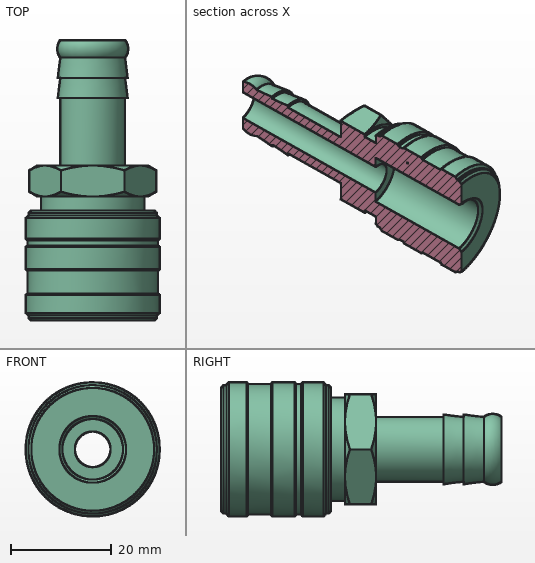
import cadquery as cq
import math


total_length = 56.0
sleeve_end = 22.0
hex_start = 24.75
hex_end = 30.95
bead_length = 3.5
barb_length = 4.05
barb_count = 2

ring_radius = 26.8 / 2
groove_radius = 13.05
lip_radius = 12.8
lip_face_radius = 12.25
lip_bevel = 0.53
lip_length = 1.05
ring_end_bevel = 0.5
ring_bevel = 0.35
front_ring_end = 5.45
middle_ring_start = 9.95
middle_ring_end = 15.0
rear_ring_start = 16.0

neck_radius = 10.35
hex_across_flats = 22.0
hex_chamfer_angle = 30.0
tube_radius = 6.5
barb_radius = 7.0
bead_radius = 7.1

through_radius = 3.5
socket_radius = 6.05
socket_chamfer = 0.6
socket_depth = sleeve_end


def turned(profile):
    """Revolve a (radius, Y) profile around the Y axis."""
    return profile.close().revolve(360, (0, 0, 0), (0, 1, 0))


def ring_outline(start, end, start_bevel, end_bevel):
    """Outer points of one raised, bevelled ring."""
    return [(ring_radius, start + start_bevel), (ring_radius, end - end_bevel)]


def make_sleeve():
    front_ring_start = lip_length
    rear_ring_end = sleeve_end - lip_length
    outline = [
        (0, 0),
        (lip_face_radius, 0),
        (lip_radius, lip_bevel),
        (lip_radius, front_ring_start),
        *ring_outline(front_ring_start, front_ring_end, ring_end_bevel, ring_bevel),
        (groove_radius, front_ring_end),
        (groove_radius, middle_ring_start),
        *ring_outline(middle_ring_start, middle_ring_end, ring_bevel, ring_bevel),
        (groove_radius, middle_ring_end),
        (groove_radius, rear_ring_start),
        *ring_outline(rear_ring_start, rear_ring_end, ring_bevel, ring_end_bevel),
        (lip_radius, rear_ring_end),
        (lip_radius, sleeve_end - lip_bevel),
        (lip_face_radius, sleeve_end),
        (0, sleeve_end),
    ]
    return turned(cq.Workplane("XY").polyline(outline))


def make_hexagon():
    """Wrench hexagon with flats facing +Z and -Z and conically chamfered corners."""
    flat_radius = hex_across_flats / 2
    corner_radius = flat_radius / math.cos(math.pi / 6)
    prism = (
        cq.Workplane("XZ", origin=(0, hex_start, 0))
        .polygon(6, 2 * corner_radius)
        .extrude(hex_start - hex_end)
    )
    chamfer_depth = (corner_radius - flat_radius) * math.tan(math.radians(hex_chamfer_angle))
    envelope = turned(
        cq.Workplane("XY").polyline(
            [
                (0, hex_start),
                (flat_radius, hex_start),
                (corner_radius, hex_start + chamfer_depth),
                (corner_radius, hex_end - chamfer_depth),
                (flat_radius, hex_end),
                (0, hex_end),
            ]
        )
    )
    return prism.intersect(envelope)


def make_neck():
    return turned(
        cq.Workplane("XY").polyline(
            [(0, sleeve_end), (neck_radius, sleeve_end), (neck_radius, hex_start), (0, hex_start)]
        )
    )


def make_hose_tail():
    """Plain tube, then barbs that narrow toward the tip, then a rounded bead."""
    bead_start = total_length - bead_length
    barbs_start = bead_start - barb_count * barb_length
    profile = (
        cq.Workplane("XY")
        .moveTo(0, hex_end)
        .lineTo(tube_radius, hex_end)
        .lineTo(tube_radius, barbs_start)
    )
    for index in range(barb_count):
        barb_start = barbs_start + index * barb_length
        profile = profile.lineTo(barb_radius, barb_start).lineTo(tube_radius, barb_start + barb_length)
    profile = profile.threePointArc(
        (bead_radius, bead_start + bead_length / 2), (tube_radius, total_length)
    ).lineTo(0, total_length)
    return turned(profile)


def make_bore():
    """Chamfered front socket that steps down to the through passage."""
    return turned(
        cq.Workplane("XY").polyline(
            [
                (0, 0),
                (socket_radius + socket_chamfer, 0),
                (socket_radius, socket_chamfer),
                (socket_radius, socket_depth),
                (through_radius, socket_depth),
                (through_radius, total_length),
                (0, total_length),
            ]
        )
    )


body = make_sleeve().union(make_neck()).union(make_hexagon()).union(make_hose_tail())
result = body.cut(make_bore())